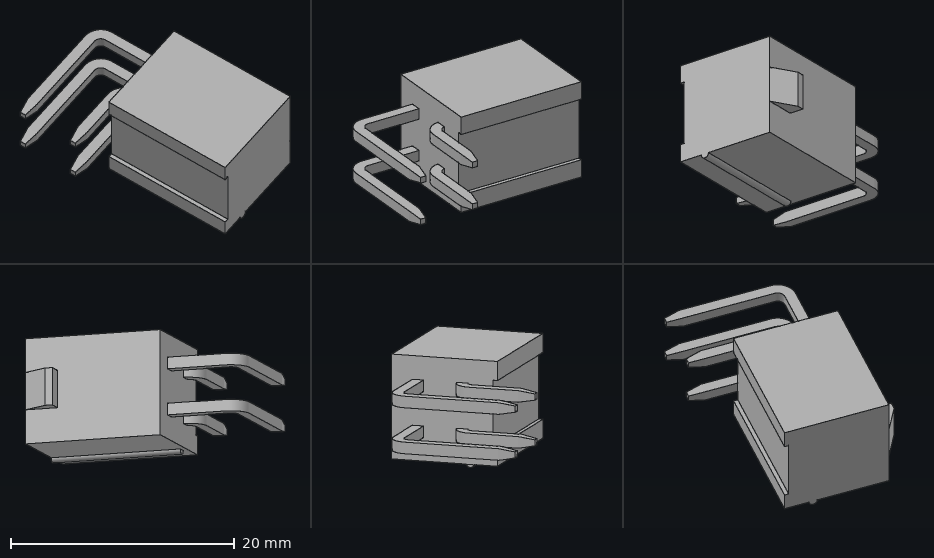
import cadquery as cq


housing_length = 12.8
housing_depth = 10.0
housing_height = 9.6
recess_height = 6.1
recess_depth = 0.4

latch_length = 3.06
latch_crest_length = 0.7
latch_rise = 1.4
latch_width = 3.4

rib_radius = 0.4
rib_rear_gap = 0.53
rib_y = -2.25

pin_width = 1.06
tip_width = 0.57
tip_length = 1.5
bend_outer_radius = 1.75
row_count = 2
pin_pitch = 4.2
outer_row_x = -6.6
outer_row_y = 2.5
row_spacing_x = 5.5
pin_embed_length = 3.0
pin_overhang = 4.0

bend_inner_radius = bend_outer_radius - pin_width
pin_end_y = -housing_depth / 2 - pin_overhang
taper_start_y = pin_end_y + tip_length


def make_housing():
    """Block with a shallow full-length recess in the -Y face."""
    block = cq.Workplane("XY").box(
        housing_length, housing_depth, housing_height, centered=(False, True, True)
    )
    recess = (
        cq.Workplane("XY")
        .box(housing_length, recess_depth, recess_height, centered=(False, False, True))
        .translate((0, -housing_depth / 2, 0))
    )
    return block.cut(recess)


def make_latch():
    """Wedge with a short flat crest that slopes down to the front face."""
    base_y = housing_depth / 2
    crest_y = base_y + latch_rise
    rear_x = housing_length - latch_length
    return (
        cq.Workplane("XY")
        .moveTo(rear_x, base_y)
        .lineTo(rear_x, crest_y)
        .lineTo(rear_x + latch_crest_length, crest_y)
        .lineTo(housing_length, base_y)
        .close()
        .extrude(latch_width / 2, both=True)
    )


def make_rib():
    """Cylinder centred on the underside, so that its lower half stands out."""
    return (
        cq.Workplane("YZ", origin=(rib_rear_gap, 0, 0))
        .center(rib_y, -housing_height / 2)
        .circle(rib_radius)
        .extrude(housing_length - rib_rear_gap)
    )


def make_pin(pin_x, pin_y, pin_z):
    """Square pin from inside the housing, bent towards -Y and ending in a tapered tip."""
    leg_left = pin_x - pin_width / 2
    leg_right = pin_x + pin_width / 2
    arm_top = pin_y + pin_width / 2
    arm_bottom = pin_y - pin_width / 2
    bend_x = leg_left + bend_outer_radius
    bend_y = arm_top - bend_outer_radius

    bent_bar = (
        cq.Workplane("XY", origin=(0, 0, pin_z))
        .moveTo(pin_embed_length, arm_top)
        .lineTo(bend_x, arm_top)
        .radiusArc((leg_left, bend_y), -bend_outer_radius)
        .lineTo(leg_left, taper_start_y)
        .lineTo(leg_right, taper_start_y)
        .lineTo(leg_right, bend_y)
        .radiusArc((bend_x, arm_bottom), bend_inner_radius)
        .lineTo(pin_embed_length, arm_bottom)
        .close()
        .extrude(pin_width / 2, both=True)
    )
    tip = (
        cq.Workplane("XZ", origin=(pin_x, taper_start_y, pin_z))
        .rect(pin_width, pin_width)
        .workplane(offset=tip_length)
        .rect(tip_width, tip_width)
        .loft(ruled=True)
    )
    return bent_bar.union(tip)


result = make_housing().union(make_latch()).union(make_rib())
for row in range(row_count):
    row_x = outer_row_x + row * row_spacing_x
    row_y = outer_row_y - row * pin_pitch
    for pin_z in (-pin_pitch / 2, pin_pitch / 2):
        result = result.union(make_pin(row_x, row_y, pin_z))